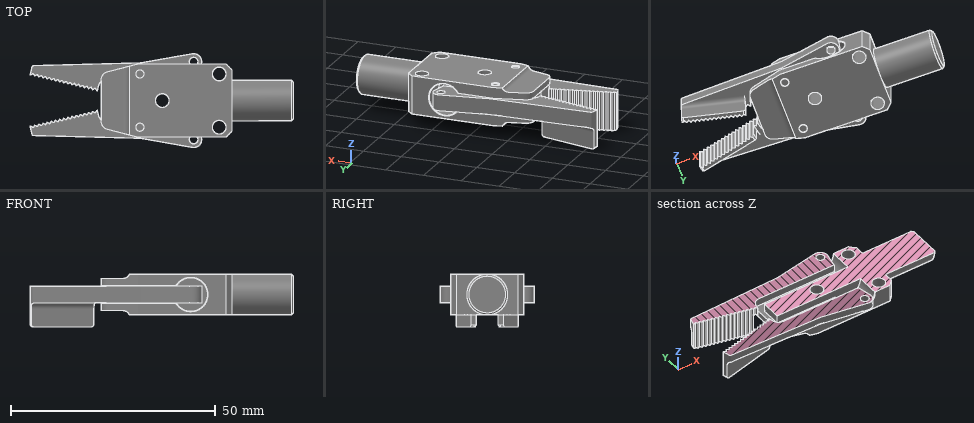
import cadquery as cq
import math


total_length = 64.6
total_width = 23.1
total_height = 13.0

shank_diameter = 10.0
shank_chamfer = 0.5

housing_half_height = shank_diameter / 2
housing_half_width = 9.0
housing_back_x = 49.55
housing_back_chamfer = 1.5
shoulder_x = 26.5
nose_front_x = 17.45
nose_taper = 14.5
nose_corner_radius = 2.0
step_height = 1.05
step_x = 24.35
step_radius = 1.7

slot_half_height = 2.2
core_front_x = 18.7
core_half_width = 2.8
pocket_x = 39.4
pocket_diameter = 8.2
pocket_chamfer = 0.1

mount_hole_diameter = 3.3
centre_hole_x = 32.45
back_hole_x = 46.4
pivot_x = 26.95
pivot_y = 6.5
pivot_recess_diameter = 2.0
pivot_recess_depth = 0.25

jaw_half_height = 2.1
jaw_tip_outer_y = 8.6
jaw_tip_radius = 0.485
jaw_inner_y = 5.2
jaw_throat_radius = 1.95
bend_x = 27.15
bend_radius = 4.0
tail_taper = 10
tail_end_slant = 12
tail_diameter = 4.0
tail_hole_diameter = 2.1
tail_x = 40.1

tooth_count = 16
tooth_pitch = 1.042
tooth_land = 0.16
tooth_row_angle = 13.3
tooth_depth = 0.5
first_tooth_y = 6.3

wing_teeth = 15
wing_thickness = 1.4
wing_root_radius = 1.5
wing_corner_chamfer = 0.485

tail_radius = tail_diameter / 2
tail_y = total_width / 2 - tail_radius
tooth_row_length = tooth_count * tooth_pitch + 2 * tooth_land
wing_bottom_z = housing_half_height - total_height
row_cos = math.cos(math.radians(tooth_row_angle))
row_sin = math.sin(math.radians(tooth_row_angle))
taper_cos = math.cos(math.radians(tail_taper))
taper_sin = math.sin(math.radians(tail_taper))
slant_cos = math.cos(math.radians(tail_end_slant))
slant_sin = math.sin(math.radians(tail_end_slant))


def on_row(along, outward):
    """Point at a distance along the line of tooth tips and a distance outward from it."""
    x = along * row_cos + outward * row_sin
    y = first_tooth_y - along * row_sin + outward * row_cos
    return (x, y)


def outward_to(y, along):
    """Outward distance from the tooth line at which the given Y is reached."""
    return (y - on_row(along, 0)[1]) / row_cos


def box_between(x0, x1, y0, y1, half_height):
    """Box between two X and two Y values, centred on Z = 0."""
    return (
        cq.Workplane("XY")
        .box(x1 - x0, y1 - y0, 2 * half_height, centered=(False, False, True))
        .translate((x0, y0, 0))
    )


def round_upright_edge(body, point, radius):
    """Fillet the upright edge nearest to a plan point."""
    nearest = cq.selectors.NearestToPointSelector((point[0], point[1], 0))
    return body.edges("|Z").edges(nearest).fillet(radius)


def housing_block():
    """Plan outline with a tapered nose and chamfered back corners."""
    nose_half_width = housing_half_width - (shoulder_x - nose_front_x) * math.tan(math.radians(nose_taper))
    half_outline = [
        (nose_front_x, nose_half_width),
        (shoulder_x, housing_half_width),
        (housing_back_x - housing_back_chamfer, housing_half_width),
        (housing_back_x, housing_half_width - housing_back_chamfer),
    ]
    other_half = [(x, -y) for x, y in reversed(half_outline)]
    block = (
        cq.Workplane("XY")
        .polyline(half_outline + other_half)
        .close()
        .extrude(housing_half_height, both=True)
    )
    for side in (1, -1):
        block = round_upright_edge(block, (nose_front_x, side * nose_half_width), nose_corner_radius)
    return block


def nose_step(side):
    """Material above (side 1) or below (side -1) the nose plate, with a rounded root."""
    arc_centre_z = housing_half_height - step_height + step_radius
    run = math.sqrt(step_radius**2 - (step_radius - step_height) ** 2)
    flat_end_x = step_x - run
    half_angle = math.asin(run / step_radius) / 2
    arc_middle = (
        flat_end_x + step_radius * math.sin(half_angle),
        side * (arc_centre_z - step_radius * math.cos(half_angle)),
    )
    return (
        cq.Workplane("XZ")
        .moveTo(nose_front_x, side * housing_half_height)
        .lineTo(nose_front_x, side * (housing_half_height - step_height))
        .lineTo(flat_end_x, side * (housing_half_height - step_height))
        .threePointArc(arc_middle, (step_x, side * housing_half_height))
        .close()
        .extrude(housing_half_width, both=True)
    )


def jaw_chamber():
    """Slot open at the front and sides, around a solid core."""
    slot = box_between(nose_front_x, pocket_x, -housing_half_width, housing_half_width, slot_half_height)
    core = box_between(core_front_x, pocket_x, -core_half_width, core_half_width, slot_half_height)
    return slot.cut(core)


def tail_pocket():
    """Round side pocket with a small chamfer at its mouth, on the +Y side."""
    radius = pocket_diameter / 2
    profile = [
        (0, core_half_width),
        (radius, core_half_width),
        (radius, housing_half_width - pocket_chamfer),
        (radius + pocket_chamfer, housing_half_width),
        (0, housing_half_width),
    ]
    pocket = cq.Workplane("XY").polyline(profile).close().revolve(360, (0, 0, 0), (0, 1, 0))
    return pocket.translate((pocket_x, 0, 0))


def make_housing():
    shank = (
        cq.Workplane("YZ", origin=(housing_back_x, 0, 0))
        .circle(shank_diameter / 2)
        .extrude(total_length - housing_back_x)
        .faces(">X")
        .chamfer(shank_chamfer)
    )
    mount_holes = (
        cq.Workplane("XY")
        .pushPoints([(centre_hole_x, 0), (back_hole_x, pivot_y), (back_hole_x, -pivot_y)])
        .circle(mount_hole_diameter / 2)
        .extrude(housing_half_height, both=True)
    )
    pivot_recess = (
        cq.Workplane("XY", origin=(0, 0, housing_half_height - pivot_recess_depth))
        .pushPoints([(pivot_x, pivot_y), (pivot_x, -pivot_y)])
        .circle(pivot_recess_diameter / 2)
        .extrude(pivot_recess_depth)
    )
    pocket = tail_pocket()
    body = housing_block().cut(nose_step(1)).cut(nose_step(-1)).union(shank)
    body = body.cut(jaw_chamber()).cut(pocket).cut(pocket.mirror("XZ"))
    return body.cut(mount_holes).cut(pivot_recess).cut(pivot_recess.mirror("XY"))


def jaw_outline(bottom_z, top_z):
    """Jaw plan between two heights, with a straight line along the tooth tips."""
    tip_corner = on_row(0, outward_to(jaw_tip_outer_y, 0))
    throat_corner = on_row(tooth_row_length, outward_to(jaw_inner_y, tooth_row_length))
    outer_tangent = (tail_x - tail_radius * taper_sin, tail_y + tail_radius * taper_cos)
    end_tangent = (tail_x + tail_radius * slant_cos, tail_y - tail_radius * slant_sin)
    round_middle = (tail_x + tail_radius * taper_cos, tail_y + tail_radius * taper_sin)
    bend = (bend_x, outer_tangent[1] - (outer_tangent[0] - bend_x) * taper_sin / taper_cos)
    inner_corner = (end_tangent[0] - (end_tangent[1] - jaw_inner_y) * slant_sin / slant_cos, jaw_inner_y)
    plate = (
        cq.Workplane("XY", origin=(0, 0, bottom_z))
        .moveTo(*on_row(0, 0))
        .lineTo(*tip_corner)
        .lineTo(*bend)
        .lineTo(*outer_tangent)
        .threePointArc(round_middle, end_tangent)
        .lineTo(*inner_corner)
        .lineTo(*throat_corner)
        .lineTo(*on_row(tooth_row_length, 0))
        .close()
        .extrude(top_z - bottom_z)
    )
    plate = round_upright_edge(plate, tip_corner, jaw_tip_radius)
    plate = round_upright_edge(plate, bend, bend_radius)
    return round_upright_edge(plate, throat_corner, jaw_throat_radius)


def wing():
    """Plate along the teeth, below the jaw, with a rounded root and chamfered lower corners."""
    across_row = cq.Plane(
        origin=(*on_row(0, 0), 0),
        xDir=(row_sin, row_cos, 0),
        normal=(row_cos, -row_sin, 0),
    )
    top_z = -jaw_half_height
    plate = (
        cq.Workplane(across_row)
        .moveTo(0, top_z)
        .lineTo(wing_thickness + wing_root_radius, top_z)
        .radiusArc((wing_thickness, top_z - wing_root_radius), -wing_root_radius)
        .lineTo(wing_thickness, wing_bottom_z)
        .lineTo(0, wing_bottom_z)
        .close()
        .extrude(tooth_land + wing_teeth * tooth_pitch)
    )
    end_edges = cq.selectors.ParallelDirSelector(cq.Vector(row_sin, row_cos, 0))
    plate = plate.faces("<Z").edges(end_edges).chamfer(wing_corner_chamfer)
    return plate.intersect(jaw_outline(wing_bottom_z, top_z))


def tooth_gaps():
    """V grooves between neighbouring teeth, over the full height of plate and wing."""
    gaps = cq.Workplane("XY", origin=(0, 0, wing_bottom_z))
    for index in range(tooth_count):
        start = tooth_land + index * tooth_pitch
        gaps = gaps.polyline([
            on_row(start, 0),
            on_row(start + tooth_pitch / 2, tooth_depth),
            on_row(start + tooth_pitch, 0),
        ]).close()
    return gaps.extrude(jaw_half_height - wing_bottom_z)


def make_jaw():
    """Jaw on the +Y side."""
    tail_hole = (
        cq.Workplane("XY")
        .center(tail_x, tail_y)
        .circle(tail_hole_diameter / 2)
        .extrude(jaw_half_height, both=True)
    )
    plate = jaw_outline(-jaw_half_height, jaw_half_height)
    return plate.union(wing()).cut(tooth_gaps()).cut(tail_hole)


housing = make_housing()
jaw = make_jaw()
jaws = [jaw, jaw.mirror("XZ")]

result = cq.Compound.makeCompound([housing.val(), *[each.val() for each in jaws]])